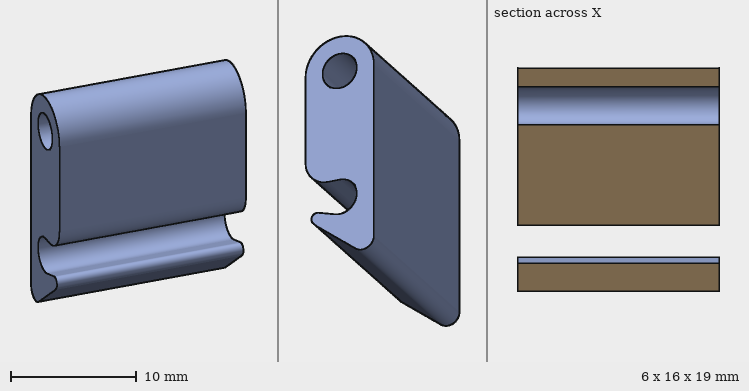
import cadquery as cq
import math

width = 6.0
depth = 16.0
height = 19.0
hole_diameter = 3.0
slot_radius = hole_diameter / 2
slot_drop = 11.0
corner_radius = 2.0
heel_radius = 1.0
tip_radius = 0.5
tip_x = 2.0
tip_drop = 12.5
underside_corner = (2.1, -13.11)

half_width = width / 2
slot_center = (0, -slot_drop)
slot_top = slot_radius - slot_drop
tip_center = (tip_x, -tip_drop)
heel_center = (heel_radius - half_width, half_width - height + heel_radius)


def on_circle(center, radius, angle):
    """Point on a circle at an angle in radians from +X."""
    return (center[0] + radius * math.cos(angle), center[1] + radius * math.sin(angle))


def heading_and_distance(start, end):
    """Direction angle and length of the line between two points."""
    dx = end[0] - start[0]
    dz = end[1] - start[1]
    return math.atan2(dz, dx), math.hypot(dx, dz)


heading, distance = heading_and_distance(heel_center, underside_corner)
under_angle = heading + math.asin(heel_radius / distance)
under_normal = under_angle - math.pi / 2

heading, distance = heading_and_distance(underside_corner, tip_center)
nose_angle = heading - math.asin(tip_radius / distance)
nose_normal = nose_angle - math.pi / 2

heading, distance = heading_and_distance(slot_center, tip_center)
upper_angle = heading + math.asin((slot_radius + tip_radius) / distance)
upper_normal = upper_angle + math.pi / 2
tip_middle = (nose_normal + upper_normal) / 2
heel_middle = (under_normal - math.pi) / 2

corner_center = (half_width - corner_radius, slot_top + corner_radius)
outline = (
    cq.Workplane("XZ")
    .moveTo(-half_width, 0)
    .threePointArc((0, half_width), (half_width, 0))
    .lineTo(half_width, corner_center[1])
    .threePointArc(
        on_circle(corner_center, corner_radius, -math.pi / 4),
        (corner_center[0], slot_top),
    )
    .lineTo(0, slot_top)
    .threePointArc(
        (-slot_radius, -slot_drop),
        on_circle(slot_center, slot_radius, upper_normal - math.pi),
    )
    .lineTo(*on_circle(tip_center, tip_radius, upper_normal))
    .threePointArc(
        on_circle(tip_center, tip_radius, tip_middle),
        on_circle(tip_center, tip_radius, nose_normal),
    )
    .lineTo(*underside_corner)
    .lineTo(*on_circle(heel_center, heel_radius, under_normal))
    .threePointArc(
        on_circle(heel_center, heel_radius, heel_middle),
        (-half_width, heel_center[1]),
    )
    .close()
)
body = outline.extrude(depth / 2, both=True)

pivot_hole = cq.Workplane("XZ").circle(hole_diameter / 2).extrude(depth / 2, both=True)

result = body.cut(pivot_hole)